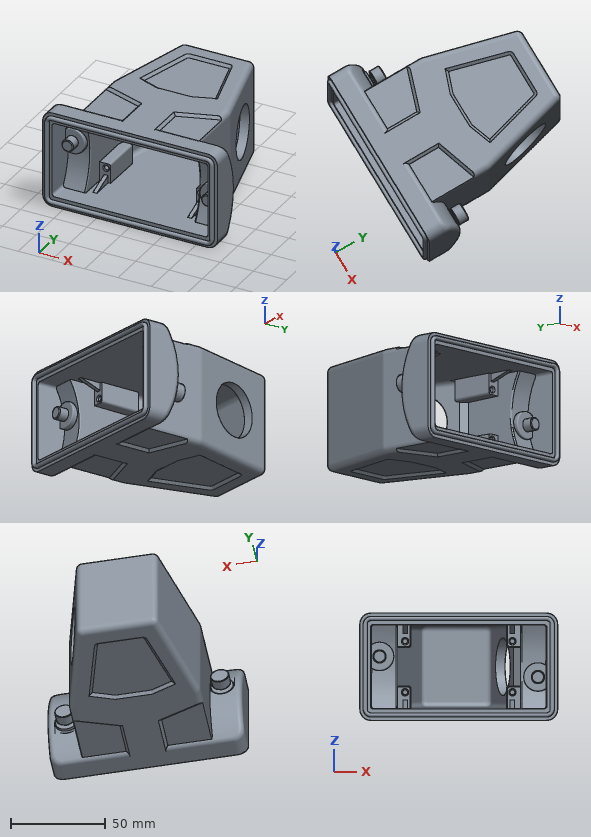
import cadquery as cq
import math


OVERLAP = 1.0

FLANGE_X = 105.0
FLANGE_Z = 57.0
FLANGE_PEAK = 20.3
FLANGE_ARCH_END = 10.9
FLANGE_CORNER_R = 6.0
FLANGE_EDGE_R = 2.9
FLANGE_WALL = 3.3
ARCH_RISE = FLANGE_PEAK - FLANGE_ARCH_END
ARCH_R = ((FLANGE_Z / 2) ** 2 + ARCH_RISE ** 2) / (2 * ARCH_RISE)
ARCH_CENTER_Y = FLANGE_PEAK - ARCH_R

HOOD_Y = 100.2
HOOD_HALF_X = 35.4
TAPER_START = 47.0
HOOD_END_HALF_X = 21.5
HOOD_EDGE_R = 3.5
TAPER_BEND_R = 6.2
TAPER_SLOPE = (HOOD_HALF_X - HOOD_END_HALF_X) / (HOOD_Y - TAPER_START)
TAPER_ANGLE = math.atan(TAPER_SLOPE)

PANEL_DEPTH = 1.6
SIDE_PANEL_X = 9.7
SIDE_PANEL_Y = 31.3
SIDE_PANEL_SLOPE = 1 / 3
LABEL_TOP_Y = 90.2
LABEL_TOP_X = 13.6
LABEL_SIDE_Y = 54.8
LABEL_SIDE_X = 23.3
LABEL_BOTTOM_Y = 50.1
LABEL_BOTTOM_X = 10.0
LABEL_CORNER_R = 2.5

MOUTH_HALF_X = 46.8
MOUTH_DEEP_HALF_X = 46.0
MOUTH_HALF_Z = 22.4
MOUTH_CORNER_R = 1.7
CAVITY_HALF_X = 32.8
CAVITY_END_HALF_Z = 21.3
CAVITY_END_Y = 96.9
CAVITY_EDGE_R = 2.7
LEDGE_EDGE_R = 0.7
PLAIN_WALL = 3.2
ENTRY_WALL = 5.2
ENTRY_BEVEL_START = 47.2
ENTRY_BEVEL_END = 50.4

ENTRY_D = 30.5

POST_INNER_X = 25.8
POST_INNER_Z = 10.7
POST_FRONT_Y = 26.5
POST_ROOT_Y = 50.4
POST_EDGE_R = 1.3
POST_DRAFT = 1.2
POST_HOLE_D = 2.6
POST_HOLE_X = 28.5
POST_HOLE_Z = 13.5
POST_HOLE_DEPTH = 10.5
POST_HOLE_CHAMFER = 0.6
RIB_WIDTH = 2.4
RIB_FRONT_Y = 13.3
RIB_INNER_Z = 17.7

GASKET_HALF_X = 50.7
GASKET_HALF_Z = 26.7
GASKET_WIDTH = 2.2
GASKET_PROTRUSION = 2.0
GROOVE_DEPTH = 2.0
GASKET_CORNER_R = 4.2
GASKET_EDGE_R = 1.0

SCREW_X = 42.0
SCREW_Z = 5.5
SCREW_PLACES = [(-SCREW_X, SCREW_Z), (SCREW_X, -SCREW_Z)]
HEAD_D = 10.0
HEAD_BOTTOM_Y = 21.7
HEAD_TOP_Y = 27.7
HEAD_CHAMFER = 0.3
NECK_D = 6.0
NECK_FLARE = 0.5
SHANK_D = 7.0
SHANK_END_Y = 8.0
SHANK_CHAMFER = 0.5
WASHER_D = 12.0
WASHER_TOP_Y = 20.2
SPOTFACE_WIDTH = 12.8
SPOTFACE_Y = 18.7
BOSS_D = 15.1
BOSS_FRONT_Y = 13.9
BOSS_EDGE_R = 0.6


def box(x0, x1, y0, y1, z0, z1):
    """Box from its limits on the three axes."""
    corner = cq.Workplane("XY").box(x1 - x0, y1 - y0, z1 - z0, centered=False)
    return corner.translate((x0, y0, z0))


def cylinder(diameter, y0, y1, x=0.0, z=0.0):
    """Round bar along Y from y0 to y1."""
    axis_plane = cq.Workplane(cq.Plane((x, y0, z), (1, 0, 0), (0, 1, 0)))
    return axis_plane.circle(diameter / 2).extrude(y1 - y0)


def cone(start_d, end_d, y0, y1, x, z):
    """Cone frustum along Y, from start_d at y0 to end_d at y1."""
    solid = cq.Solid.makeCone(start_d / 2, end_d / 2, y1 - y0, cq.Vector(x, y0, z), cq.Vector(0, 1, 0))
    return cq.Workplane(obj=solid)


def rounded_block(half_x, half_z, radius, y0, y1):
    """Block along Y with a rounded rectangular section centred on the Y axis."""
    plane = cq.Workplane(cq.Plane((0, y0, 0), (1, 0, 0), (0, 1, 0)))
    section = cq.Sketch().rect(2 * half_x, 2 * half_z).vertices().fillet(radius)
    return plane.placeSketch(section).extrude(y1 - y0)


def mirrored_z(shape):
    return shape.union(shape.mirror("XY"))


def arch(radius):
    """Cylinder along X that forms the arched back of the flange."""
    return cq.Workplane("YZ").center(ARCH_CENTER_Y, 0).circle(radius).extrude(FLANGE_X, both=True)


def taper_x(y, wall=0.0):
    """X of the tapered side at height y, moved inward by a wall thickness."""
    return HOOD_HALF_X - (y - TAPER_START) * TAPER_SLOPE - wall / math.cos(TAPER_ANGLE)


def make_flange():
    block = rounded_block(FLANGE_X / 2, FLANGE_Z / 2, FLANGE_CORNER_R, 0, FLANGE_PEAK + OVERLAP)
    flange = block.intersect(arch(ARCH_R))
    return flange.faces(">Y").edges().fillet(FLANGE_EDGE_R)


def make_hood():
    half_outline = [
        (HOOD_HALF_X, 0),
        (HOOD_HALF_X, TAPER_START),
        (HOOD_END_HALF_X, HOOD_Y),
    ]
    outline = half_outline + [(-x, y) for x, y in reversed(half_outline)]
    hood = cq.Workplane("XY").polyline(outline).close().extrude(FLANGE_Z / 2, both=True)
    bend = cq.selectors.BoxSelector(
        (-FLANGE_X, TAPER_START - OVERLAP, -FLANGE_Z),
        (FLANGE_X, TAPER_START + OVERLAP, FLANGE_Z),
    )
    hood = hood.edges("|Z").edges(bend).fillet(TAPER_BEND_R)
    hood = hood.edges("|Z and >Y").fillet(HOOD_EDGE_R)
    return hood.faces(">Z or <Z or >Y").edges("not <Y").fillet(HOOD_EDGE_R)


def side_panel():
    """Cutter for the sunk panel beside the middle web, +X side of the top face."""
    run_out = 2 * PANEL_DEPTH
    far_x = HOOD_HALF_X + run_out
    outline = [
        (SIDE_PANEL_X, -run_out),
        (far_x, -run_out),
        (far_x, SIDE_PANEL_Y + SIDE_PANEL_SLOPE * (far_x - SIDE_PANEL_X)),
        (SIDE_PANEL_X, SIDE_PANEL_Y),
    ]
    plane = cq.Workplane("XY", origin=(0, 0, FLANGE_Z / 2))
    return plane.polyline(outline).close().extrude(-PANEL_DEPTH, taper=45)


def label_panel():
    """Cutter for the sunk label panel on the tapered part of the top face."""
    half_outline = [
        (LABEL_TOP_X, LABEL_TOP_Y),
        (LABEL_SIDE_X, LABEL_SIDE_Y),
        (LABEL_BOTTOM_X, LABEL_BOTTOM_Y),
    ]
    outline = half_outline + [(-x, y) for x, y in reversed(half_outline)]
    prism = cq.Workplane("XY").polyline(outline).close().extrude(1)
    section = prism.edges("|Z and >Y").fillet(LABEL_CORNER_R).faces("<Z").wires().val()
    plane = cq.Workplane("XY", origin=(0, 0, FLANGE_Z / 2))
    return plane.add(section.translate((0, 0, FLANGE_Z / 2))).toPending().extrude(-PANEL_DEPTH, taper=45)


def make_panels():
    side = side_panel()
    return mirrored_z(side.union(side.mirror("YZ")).union(label_panel()))


def cavity_wedge():
    """Space between the top and bottom cavity walls, which lean together away from the mouth."""
    outline = [
        (0, MOUTH_HALF_Z),
        (CAVITY_END_Y, CAVITY_END_HALF_Z),
        (CAVITY_END_Y, -CAVITY_END_HALF_Z),
        (0, -MOUTH_HALF_Z),
    ]
    plane = cq.Workplane("YZ", origin=(-MOUTH_HALF_X, 0, 0))
    return plane.polyline(outline).close().extrude(2 * MOUTH_HALF_X)


def mouth_cavity():
    """Wide cavity inside the flange, with an arched floor parallel to the flange back."""
    outline = [
        (-MOUTH_HALF_X, 0),
        (-MOUTH_DEEP_HALF_X, FLANGE_PEAK),
        (MOUTH_DEEP_HALF_X, FLANGE_PEAK),
        (MOUTH_HALF_X, 0),
    ]
    block = cq.Workplane("XY").polyline(outline).close().extrude(MOUTH_HALF_Z, both=True)
    block = block.intersect(cavity_wedge())
    block = block.edges("not(|X or |Z)").fillet(MOUTH_CORNER_R)
    return block.intersect(arch(ARCH_R - FLANGE_WALL))


def hood_cavity():
    """Deep cavity of the hood; the tapered wall is thicker on the cable entry side."""
    outline = [
        (-CAVITY_HALF_X, 0),
        (-taper_x(TAPER_START, PLAIN_WALL), TAPER_START),
        (-taper_x(CAVITY_END_Y, PLAIN_WALL), CAVITY_END_Y),
        (taper_x(CAVITY_END_Y, ENTRY_WALL), CAVITY_END_Y),
        (taper_x(ENTRY_BEVEL_END, ENTRY_WALL), ENTRY_BEVEL_END),
        (CAVITY_HALF_X, ENTRY_BEVEL_START),
        (CAVITY_HALF_X, 0),
    ]
    deep = cq.Workplane("XY").polyline(outline).close().extrude(MOUTH_HALF_Z, both=True)
    deep = deep.intersect(cavity_wedge())
    deep = deep.edges("|Z and >Y").fillet(CAVITY_EDGE_R)
    return deep.faces(">Y").edges().fillet(CAVITY_EDGE_R)


def cable_entry():
    """Bore square to the +X tapered face, centred on that face."""
    middle_y = (TAPER_START + HOOD_Y) / 2
    outward = (math.cos(TAPER_ANGLE), math.sin(TAPER_ANGLE), 0)
    plane = cq.Plane((taper_x(middle_y), middle_y, 0), (0, 0, 1), outward)
    return cq.Workplane(plane).circle(ENTRY_D / 2).extrude(ENTRY_WALL, both=True)


def post_hole():
    """Blind screw hole with a countersunk mouth."""
    mouth_d = POST_HOLE_D + 2 * POST_HOLE_CHAMFER
    mouth_end_y = POST_FRONT_Y + POST_HOLE_CHAMFER
    mouth = cone(mouth_d, POST_HOLE_D, POST_FRONT_Y, mouth_end_y, POST_HOLE_X, POST_HOLE_Z)
    bottom_y = POST_FRONT_Y + POST_HOLE_DEPTH
    return mouth.union(cylinder(POST_HOLE_D, POST_FRONT_Y, bottom_y, POST_HOLE_X, POST_HOLE_Z))


def make_post(wall_x, wall_z):
    """Drafted post in the +X +Z corner, sunk into the walls as far as wall_x and wall_z."""
    length = POST_ROOT_Y - POST_FRONT_Y
    growth = length * math.tan(math.radians(POST_DRAFT))
    width = wall_x - POST_INNER_X + 2 * growth
    height = wall_z - POST_INNER_Z + 2 * growth
    root = cq.Workplane(cq.Plane((0, POST_ROOT_Y, 0), (1, 0, 0), (0, -1, 0)))
    root = root.center((wall_x + POST_INNER_X) / 2, (wall_z + POST_INNER_Z) / 2)
    post = root.rect(width, height).extrude(length, taper=POST_DRAFT)
    middle_y = (POST_FRONT_Y + POST_ROOT_Y) / 2
    inner_edge = cq.selectors.NearestToPointSelector((POST_INNER_X, middle_y, POST_INNER_Z))
    return post.edges(inner_edge).fillet(POST_EDGE_R).cut(post_hole())


def make_rib(wall_z):
    """Wedge rib that runs from the front of a post down to the cavity wall."""
    outline = [
        (POST_FRONT_Y, RIB_INNER_Z),
        (POST_FRONT_Y, wall_z),
        (RIB_FRONT_Y, wall_z),
        (RIB_FRONT_Y, MOUTH_HALF_Z),
    ]
    plane = cq.Workplane("YZ", origin=(POST_HOLE_X - RIB_WIDTH / 2, 0, 0))
    return plane.polyline(outline).close().extrude(RIB_WIDTH)


def make_posts():
    """Four screw posts with their ribs, one in each corner of the cavity."""
    wall_x = CAVITY_HALF_X + OVERLAP
    wall_z = MOUTH_HALF_Z + OVERLAP
    post = make_post(wall_x, wall_z).union(make_rib(wall_z))
    return mirrored_z(post.union(post.mirror("YZ")))


def gasket_ring(front_y):
    """Rectangular ring from front_y down to the bottom of the gasket groove."""
    outer = rounded_block(GASKET_HALF_X, GASKET_HALF_Z, GASKET_CORNER_R, front_y, GROOVE_DEPTH)
    inner = rounded_block(
        GASKET_HALF_X - GASKET_WIDTH,
        GASKET_HALF_Z - GASKET_WIDTH,
        GASKET_CORNER_R - GASKET_WIDTH,
        front_y,
        GROOVE_DEPTH,
    )
    return outer.cut(inner)


def make_gasket():
    return gasket_ring(-GASKET_PROTRUSION).faces("<Y").edges().fillet(GASKET_EDGE_R)


def make_washer(x, z):
    washer = cylinder(WASHER_D, SPOTFACE_Y, WASHER_TOP_Y, x, z)
    return washer.cut(cylinder(NECK_D, SPOTFACE_Y, WASHER_TOP_Y, x, z))


def screw_boss(x, z):
    """Boss on the flange floor, merging into the flange side wall."""
    boss = cylinder(BOSS_D, BOSS_FRONT_Y, SPOTFACE_Y, x, z)
    return boss.faces("<Y").edges().fillet(BOSS_EDGE_R)


def spotface(x, z):
    """U-shaped flat cut into the flange arch, open toward the nearer of the top and bottom faces."""
    top_y = FLANGE_PEAK + OVERLAP
    open_z = math.copysign(FLANGE_Z / 2, z)
    half_width = SPOTFACE_WIDTH / 2
    slot = box(x - half_width, x + half_width, SPOTFACE_Y, top_y, min(z, open_z), max(z, open_z))
    return slot.union(cylinder(SPOTFACE_WIDTH, SPOTFACE_Y, top_y, x, z))


def make_screw(x, z):
    head = cylinder(HEAD_D, HEAD_BOTTOM_Y, HEAD_TOP_Y, x, z).faces("<Y or >Y").chamfer(HEAD_CHAMFER)
    flare = cone(NECK_D, SHANK_D, HEAD_BOTTOM_Y - NECK_FLARE, HEAD_BOTTOM_Y, x, z)
    neck = cylinder(NECK_D, SPOTFACE_Y, HEAD_BOTTOM_Y, x, z)
    shank = cylinder(SHANK_D, SHANK_END_Y, SPOTFACE_Y, x, z).faces("<Y").chamfer(SHANK_CHAMFER)
    return head.union(flare).union(neck).union(shank)


def round_ledges(shell):
    """Round the edges where the arched flange floor drops into the hood cavity."""
    reach_x = CAVITY_HALF_X + OVERLAP
    ledge_zone = cq.selectors.BoxSelector(
        (-reach_x, OVERLAP, -MOUTH_HALF_Z),
        (reach_x, FLANGE_PEAK, MOUTH_HALF_Z),
    )
    return shell.edges(ledge_zone).fillet(LEDGE_EDGE_R)


def make_housing():
    shell = make_hood().cut(make_panels()).union(make_flange())
    shell = shell.cut(mouth_cavity()).cut(hood_cavity())
    shell = round_ledges(shell).cut(cable_entry())
    housing = shell.union(make_posts()).cut(gasket_ring(0))
    for x, z in SCREW_PLACES:
        housing = housing.union(screw_boss(x, z))
        housing = housing.cut(spotface(x, z))
        housing = housing.cut(cylinder(SHANK_D, 0, FLANGE_PEAK, x, z))
    return housing


housing = make_housing()
gasket = make_gasket()
washers = [make_washer(x, z).val() for x, z in SCREW_PLACES]
screws = [make_screw(x, z).val() for x, z in SCREW_PLACES]

result = cq.Compound.makeCompound([housing.val(), gasket.val(), *washers, *screws])